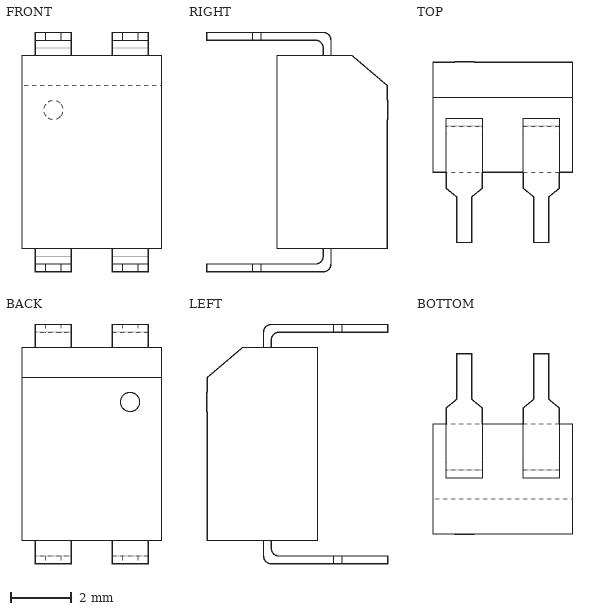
import cadquery as cq

TOTAL_HEIGHT = 7.88
TOTAL_DEPTH = 5.96

PACKAGE_WIDTH = 4.6
PACKAGE_DEPTH = 3.63
PACKAGE_HEIGHT = 6.36
BEVEL_DEPTH = 1.16
BEVEL_HEIGHT = 0.985

DOT_RADIUS = 0.315
DOT_THICKNESS = 0.015
DOT_X = -1.26
DOT_Z = 1.39

LEAD_PITCH = 2.54
LEAD_THICKNESS = 0.26
LEAD_WIDTH = 1.2
LEAD_BACK_Y = -1.85
BEND_RADIUS = 0.25
TIP_WIDTH = 0.505
TIP_LENGTH = 1.505
TAPER_LENGTH = 0.28

package_top = PACKAGE_HEIGHT / 2
lead_top = TOTAL_HEIGHT / 2
tip_y = DOT_THICKNESS - TOTAL_DEPTH


def make_package():
    """Block with a bevel along its upper back edge."""
    return (
        cq.Workplane("YZ")
        .moveTo(-PACKAGE_DEPTH, -package_top)
        .lineTo(0, -package_top)
        .lineTo(0, package_top - BEVEL_HEIGHT)
        .lineTo(-BEVEL_DEPTH, package_top)
        .lineTo(-PACKAGE_DEPTH, package_top)
        .close()
        .extrude(PACKAGE_WIDTH / 2, both=True)
    )


def make_upper_lead(x):
    """Lead rising from the package, bent forward and narrowed to a tip."""
    leg_front_y = LEAD_BACK_Y - LEAD_THICKNESS
    blade_bottom = lead_top - LEAD_THICKNESS
    strip = (
        cq.Workplane("YZ")
        .moveTo(LEAD_BACK_Y, package_top)
        .lineTo(LEAD_BACK_Y, lead_top - BEND_RADIUS)
        .radiusArc((LEAD_BACK_Y - BEND_RADIUS, lead_top), -BEND_RADIUS)
        .lineTo(tip_y, lead_top)
        .lineTo(tip_y, blade_bottom)
        .lineTo(leg_front_y - BEND_RADIUS, blade_bottom)
        .radiusArc((leg_front_y, blade_bottom - BEND_RADIUS), BEND_RADIUS)
        .lineTo(leg_front_y, package_top)
        .close()
        .extrude(LEAD_WIDTH / 2, both=True)
    )
    taper_front_y = tip_y + TIP_LENGTH
    taper_back_y = taper_front_y + TAPER_LENGTH
    plan = (
        cq.Workplane("XY")
        .moveTo(TIP_WIDTH / 2, tip_y)
        .lineTo(TIP_WIDTH / 2, taper_front_y)
        .lineTo(LEAD_WIDTH / 2, taper_back_y)
        .lineTo(LEAD_WIDTH / 2, LEAD_BACK_Y)
        .lineTo(-LEAD_WIDTH / 2, LEAD_BACK_Y)
        .lineTo(-LEAD_WIDTH / 2, taper_back_y)
        .lineTo(-TIP_WIDTH / 2, taper_front_y)
        .lineTo(-TIP_WIDTH / 2, tip_y)
        .close()
        .extrude(lead_top)
    )
    return strip.intersect(plan).translate((x, 0, 0))


def make_package_with_leads():
    """Package and its four leads as a single solid."""
    body = make_package()
    for x in (-LEAD_PITCH / 2, LEAD_PITCH / 2):
        upper_lead = make_upper_lead(x)
        lower_lead = upper_lead.mirror("XY")
        body = body.union(upper_lead).union(lower_lead)
    return body.solids()


def make_orientation_dot():
    """Thin disc resting on the back face of the package."""
    return (
        cq.Workplane("XZ")
        .center(DOT_X, DOT_Z)
        .circle(DOT_RADIUS)
        .extrude(-DOT_THICKNESS)
    )


package_with_leads = make_package_with_leads()
orientation_dot = make_orientation_dot()

result = cq.Compound.makeCompound([package_with_leads.val(), orientation_dot.val()])